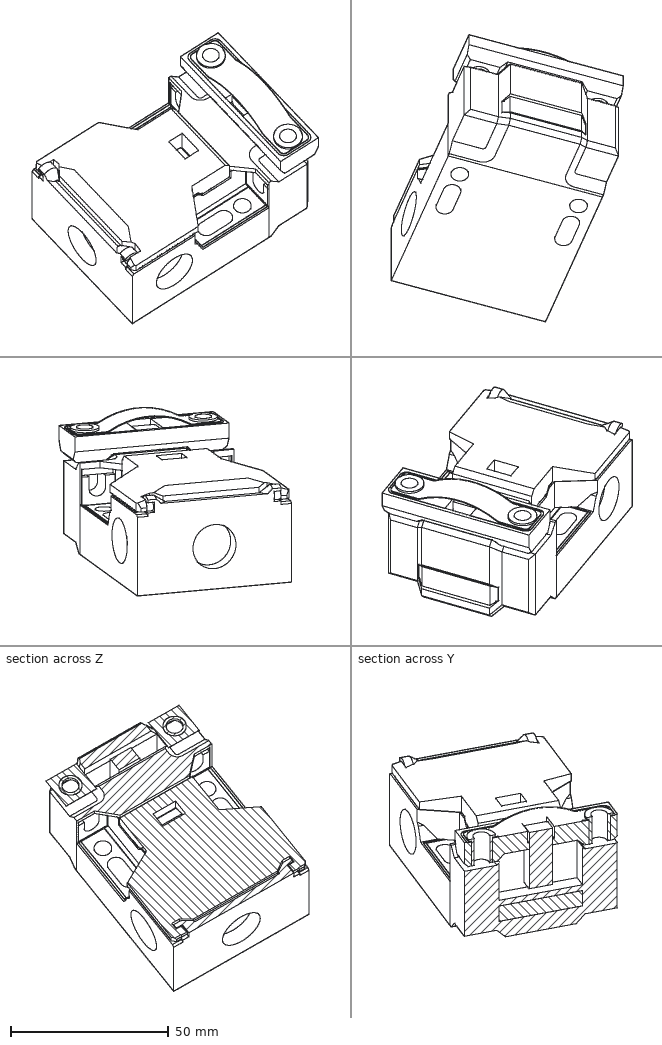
import cadquery as cq
import math

SIDES = (-1, 1)

WIDTH = 52.0
LENGTH = 75.0
HEIGHT = 41.52
HALF = WIDTH / 2
SEAM_Y = 55.0
HEAD_TOP = 30.0

CORE_HALF = 14.0
LEDGE_Z = 16.3
BED_DEPTH = 0.4
BED_INNER, BED_OUTER = 15.45, 24.4
BED_FRONT = 29.0
GROOVE_OUTER = 25.3
GROOVE_DEPTH = 0.2
RIM_Z = 26.6
TAIL_Z = 24.4
LIP_RISE = 0.8
TAIL_LIP_RISE = 1.1
LIP_INSET = 0.6
STEP_LOW_Y = 37.8
STEP_HIGH_Y = STEP_LOW_Y - (RIM_Z + LIP_RISE - TAIL_Z - TAIL_LIP_RISE)
LIP_FRONT = 3.5
LIP_BACK = 41.4
PILLAR_FRONT, PILLAR_TOP = 49.0, 27.9
WALL_TOP = 29.8
WALL_FRONT_Y, WALL_FOOT_Y, WALL_FOOT_Z = 1.9, LIP_FRONT, 28.3
CORNER_BEVEL = 0.7
WING_IN_Y, WING_OUT_Y = 31.8, 25.3
WEDGE = ((28.4, LEDGE_Z), (26.3, 21.0), (WING_OUT_Y, 22.0))
ENTRY_D, ENTRY_DEPTH = 14.5, 5.0
ENTRY_Z, SIDE_ENTRY_Y = 14.0, 17.0
FIX_X, FIX_D = 20.0, 5.6
FIX_HOLE_Y, FIX_SLOT_Y, FIX_SLOT_LENGTH = 49.0, 38.0, 12.6
LATCH_HALF, LATCH_FRONT, LATCH_BACK, LATCH_TOP, LATCH_RISE = 4.0, 39.5, 42.8, 27.5, 0.9

HINGE_Y, HINGE_Z = 2.1, 28.7
KNUCKLE_R, KNUCKLE_TIP_R = 3.35, 1.2
KNUCKLE_OUT, KNUCKLE_SHOULDER, KNUCKLE_IN = 22.5, 19.6, 16.2
PIN_R, PIN_SLOT_R, PIN_END = 1.6, 1.67, 20.4
PIN_SLOT_END = 20.2

COVER_TOP, COVER_EDGE_Z = 33.4, 30.1
COVER_FLAT_HALF, COVER_HALF = 14.0, 25.8
COVER_BACK, COVER_FRONT, EAR_FRONT = 48.5, 3.5, 0.5
EAR_X = 22.6
COVER_UNDER = RIM_Z + LIP_RISE
TAIL_UNDER = TAIL_Z + TAIL_LIP_RISE
COVER_WING_OUT_Y, COVER_WING_IN_Y = 26.7, 33.3
NOTCH_X, NOTCH_BACK = 19.8, 6.0
EAR_CORNER_X, EAR_CORNER_Y = 24.6, 1.7
EAR_BEVEL_LOW_Z, EAR_BEVEL_HIGH_Z = 28.6, 31.0
FRONT_SLOPE_Y, FRONT_SLOPE_Z = 7.7, 31.2
BACK_CHAMFER = 1.8
WINDOW_HALF, WINDOW_FRONT, WINDOW_BACK = 4.25, 38.2, 43.6

STEP = 3.0
STEP_X = 15.0
STEP_Y = 59.0
STEP_FOOT_R = 1.0
EDGE_CHAMFER = 1.6
HEAD_LIP_HALF_FRONT, HEAD_LIP_HALF_BACK, HEAD_LIP_FRONT = 13.3, 19.2, 49.1
SLOT_HALF_X, SLOT_HALF, SLOT_MOUTH = 14.1, 2.7, 2.0
SLOT_INSET = 9.0
TOP_SLOT_DEPTH, BACK_SLOT_DEPTH = 16.0, 7.0
CHANNEL_BOTTOM, CHANNEL_DEPTH = 18.6, 8.0
RECESS_LOW, RECESS_HIGH, RECESS_OUT, RECESS_DEPTH = 25.2, 27.9, 25.2, 2.5
FACE_INSET = 0.4
PLUG_BACK_GAP, PLUG_FLARE = 0.3, 1.1

BLOCK_TOP, BLOCK_BOTTOM, BLOCK_TAPER_Z = 37.46, 28.3, 32.5
BLOCK_DEPTH, BLOCK_TAPER_Y = 15.25, 2.35
BLOCK_END_CHAMFER = 1.3
BLOCK_CLEARANCE = 0.5
BLOCK_Y = LENGTH - BLOCK_DEPTH / 2
SEAT_HALF_X, SEAT_DEPTH_Y, SEAT_R, SEAT_DEEP = 25.2, 12.5, 2.2, 0.15
POCKET_HALF, POCKET_FLOOR = 4.45, 33.0
SPRING_HALF_X, SPRING_WIDTH, SPRING_R, SPRING_T = 24.5, 11.0, 1.5, 0.3
ARCH_FOOT_X, ARCH_TANGENT_X = 14.8, 13.4
BUSH_FLANGE_R, BUSH_SHANK_R, BUSH_BORE_D, BUSH_TOP = 4.6, 3.6, 5.3, 38.3
KEY_HALF, KEY_T, KEY_LOW, KEY_TOP = 4.0, 5.0, 16.0, 36.8


def box(x0, x1, y0, y1, z0, z1):
    """Box between the given limits."""
    return cq.Workplane("XY").box(x1 - x0, y1 - y0, z1 - z0, centered=False).translate((x0, y0, z0))


def across(points, half):
    """Prism of a Y-Z outline, reaching the same distance to both sides of the middle."""
    return cq.Workplane("YZ").polyline(points).close().extrude(half, both=True)


def cylinder_x(radius, x0, x1, y, z):
    """Cylinder along X."""
    return cq.Workplane("YZ", origin=(x0, y, z)).circle(radius).extrude(x1 - x0)


def mirrored(half_points):
    """Outline completed with its mirror image about X = 0."""
    return half_points + [(-x, y) for x, y in reversed(half_points)]


def both_sides(shape):
    """A feature of the +X side together with its mirror image."""
    return shape.union(shape.mirror("YZ"))


def housing_shell():
    profile = [
        (0, 0), (SEAM_Y, 0), (SEAM_Y, PILLAR_TOP), (PILLAR_FRONT, PILLAR_TOP), (PILLAR_FRONT, TAIL_Z),
        (STEP_LOW_Y, TAIL_Z), (STEP_HIGH_Y, RIM_Z), (0, RIM_Z),
    ]
    return across(profile, HALF)


def ledge_space():
    """Space above one fixing ledge, in front of it the slanted wing with its wedge."""
    outline = [(CORE_HALF, SEAM_Y), (HALF, SEAM_Y), (HALF, WING_OUT_Y), (CORE_HALF, WING_IN_Y)]
    space = cq.Workplane("XY", origin=(0, 0, LEDGE_Z)).polyline(outline).close().extrude(HEAD_TOP - LEDGE_Z)
    space = space.cut(across([*WEDGE, (0, WEDGE[-1][1]), (0, LEDGE_Z)], HALF))
    bed = box(BED_INNER, BED_OUTER, 0, SEAM_Y, LEDGE_Z - BED_DEPTH, LEDGE_Z)
    groove = box(BED_OUTER, GROOVE_OUTER, 0, SEAM_Y, LEDGE_Z - GROOVE_DEPTH, LEDGE_Z)
    back_part = box(0, HALF, BED_FRONT, SEAM_Y, 0, LEDGE_Z)
    return space.union(bed.union(groove).intersect(back_part))


def fixing_holes():
    return (
        cq.Workplane("XY")
        .pushPoints([(side * FIX_X, FIX_HOLE_Y) for side in SIDES])
        .circle(FIX_D / 2)
        .extrude(HEAD_TOP)
        .pushPoints([(side * FIX_X, FIX_SLOT_Y) for side in SIDES])
        .slot2D(FIX_SLOT_LENGTH, FIX_D, 90)
        .extrude(HEAD_TOP)
    )


def cover_lip():
    """Inset lip below the cover: the rim, the tail and the slope between them."""
    inner = CORE_HALF - LIP_INSET
    outer = HALF - LIP_INSET
    outline = mirrored([
        (outer, LIP_FRONT), (outer, WING_OUT_Y), (inner, WING_IN_Y), (inner, STEP_HIGH_Y),
    ])
    rim = cq.Workplane("XY", origin=(0, 0, RIM_Z)).polyline(outline).close().extrude(LIP_RISE)
    tail = across(
        [(STEP_HIGH_Y, TAIL_Z), (LIP_BACK, TAIL_Z), (LIP_BACK, TAIL_UNDER),
         (STEP_LOW_Y, TAIL_UNDER), (STEP_HIGH_Y, COVER_UNDER)],
        inner,
    )
    return rim.union(tail)


def hinge_wall():
    """Front wall that carries the two hinge knuckles."""
    wall = across(
        [(0, RIM_Z), (0, WALL_TOP), (WALL_FRONT_Y, WALL_TOP),
         (WALL_FOOT_Y, WALL_FOOT_Z), (WALL_FOOT_Y, RIM_Z)],
        KNUCKLE_OUT,
    )
    profile = [
        (KNUCKLE_IN, 0), (KNUCKLE_IN, KNUCKLE_TIP_R), (KNUCKLE_SHOULDER, KNUCKLE_R),
        (KNUCKLE_OUT, KNUCKLE_R), (KNUCKLE_OUT, 0),
    ]
    knuckle = cq.Workplane("XY").polyline(profile).close().revolve(360, (0, 0, 0), (1, 0, 0))
    knuckle = knuckle.translate((0, HINGE_Y, HINGE_Z))
    knuckle = knuckle.intersect(box(0, HALF, 0, LENGTH, 0, HEIGHT))
    return wall.union(both_sides(knuckle))


def pin_slot():
    """Slot in one knuckle, open to the front, for a pin of the cover."""
    bore = cylinder_x(PIN_SLOT_R, PIN_SLOT_END, KNUCKLE_OUT, HINGE_Y, HINGE_Z)
    mouth = box(PIN_SLOT_END, KNUCKLE_OUT, 0, HINGE_Y, HINGE_Z - PIN_SLOT_R, HINGE_Z + PIN_SLOT_R)
    return bore.union(mouth)


def corner_bevel():
    """Bevel of the front edge below each ear of the cover."""
    prism = across([(0, RIM_Z - CORNER_BEVEL), (0, RIM_Z), (CORNER_BEVEL, RIM_Z)], HALF)
    return prism.intersect(box(KNUCKLE_OUT, HALF, 0, LENGTH, 0, HEIGHT))


def conduit_entries():
    front = cq.Workplane("XZ", origin=(0, 0, ENTRY_Z)).circle(ENTRY_D / 2).extrude(-ENTRY_DEPTH)
    side = cylinder_x(ENTRY_D / 2, HALF - ENTRY_DEPTH, HALF, SIDE_ENTRY_Y, ENTRY_Z)
    return front.union(both_sides(side))


def latch():
    """Catch that stands in the window of the cover; its hollow top rises towards the front."""
    middle_y = (LATCH_FRONT + LATCH_BACK) / 2
    middle_z = LATCH_TOP - 3 * LATCH_RISE / 4
    return (
        cq.Workplane("YZ")
        .moveTo(LATCH_FRONT, TAIL_Z)
        .lineTo(LATCH_FRONT, LATCH_TOP)
        .threePointArc((middle_y, middle_z), (LATCH_BACK, LATCH_TOP - LATCH_RISE))
        .lineTo(LATCH_BACK, TAIL_Z)
        .close()
        .extrude(LATCH_HALF, both=True)
    )


def make_housing():
    body = housing_shell().cut(both_sides(ledge_space())).cut(fixing_holes())
    body = body.union(cover_lip()).union(hinge_wall()).union(latch())
    return body.cut(both_sides(pin_slot().union(corner_bevel()))).cut(conduit_entries())


def make_cover():
    section = mirrored([
        (COVER_HALF, 0), (COVER_HALF, COVER_EDGE_Z), (COVER_FLAT_HALF, COVER_TOP),
    ])
    outline = mirrored([
        (KNUCKLE_IN, COVER_FRONT), (NOTCH_X, NOTCH_BACK), (EAR_X, NOTCH_BACK), (EAR_X, EAR_FRONT),
        (EAR_CORNER_X, EAR_FRONT), (COVER_HALF, EAR_CORNER_Y), (COVER_HALF, COVER_WING_OUT_Y),
        (COVER_FLAT_HALF, COVER_WING_IN_Y), (COVER_FLAT_HALF, COVER_BACK),
    ])
    profile = [
        (EAR_FRONT, COVER_UNDER), (STEP_HIGH_Y, COVER_UNDER), (STEP_LOW_Y, TAIL_UNDER),
        (COVER_BACK, TAIL_UNDER), (COVER_BACK, COVER_TOP - BACK_CHAMFER),
        (COVER_BACK - BACK_CHAMFER, COVER_TOP), (FRONT_SLOPE_Y, COVER_TOP), (COVER_FRONT, FRONT_SLOPE_Z),
        (EAR_CORNER_Y, EAR_BEVEL_HIGH_Z), (EAR_FRONT, EAR_BEVEL_LOW_Z),
    ]
    cover = across(profile, HALF)
    cover = cover.intersect(cq.Workplane("XZ").polyline(section).close().extrude(-LENGTH))
    cover = cover.intersect(cq.Workplane("XY").polyline(outline).close().extrude(HEIGHT))
    cover = cover.cut(box(-WINDOW_HALF, WINDOW_HALF, WINDOW_FRONT, WINDOW_BACK, 0, HEIGHT))
    pin = cylinder_x(PIN_R, PIN_END, EAR_X, HINGE_Y, HINGE_Z)
    return cover.union(both_sides(pin))


def top_corner_step():
    """Material removed from one top corner: walls at 45 degrees, joined by a cone."""
    reach = LENGTH
    pocket = (
        cq.Workplane("XY", origin=(0, 0, HEAD_TOP - STEP))
        .center(STEP_X + reach / 2, STEP_Y + reach / 2)
        .rect(reach, reach)
        .extrude(STEP)
        .edges("|Z and <X and <Y")
        .fillet(STEP_FOOT_R)
    )
    return pocket.faces("<Z").wires().toPending().workplane(invert=True).extrude(STEP, taper=-45)


def back_corner_step():
    outline = [(STEP_X, LENGTH - STEP), (HALF, LENGTH - STEP), (HALF, LENGTH), (STEP_X - STEP, LENGTH)]
    return cq.Workplane("XY").polyline(outline).close().extrude(HEAD_TOP)


def back_edge_chamfer():
    """45 degree cut along the upper back edge; it follows the steps of the head."""
    root = math.sqrt(2)
    middle = (LENGTH + HEAD_TOP - EDGE_CHAMFER) / root
    side = middle - 2 * STEP / root
    outside = middle + STEP
    outline = mirrored([(STEP_X - STEP, middle), (STEP_X, side), (HALF, side), (HALF, outside)])
    plane = cq.Plane(origin=(0, 0, 0), xDir=(1, 0, 0), normal=(0, -1, 1))
    return cq.Workplane(plane).polyline(outline).close().extrude(LENGTH, both=True)


def key_slot(depth):
    """Key entry slot with a flared mouth, opening at Z = 0 and going down."""
    low = SLOT_HALF
    high = SLOT_HALF + SLOT_MOUTH
    profile = [
        (-low, -depth), (low, -depth), (low, -SLOT_MOUTH), (high, 0), (-high, 0), (-low, -SLOT_MOUTH),
    ]
    return across(profile, SLOT_HALF_X)


def screw_recess():
    """U-shaped channel with a wider recess above it, in the front face of the head."""
    radius = FIX_D / 2
    centre_z = CHANNEL_BOTTOM + radius
    round_end = cq.Workplane("XZ", origin=(FIX_X, SEAM_Y, centre_z)).circle(radius).extrude(-CHANNEL_DEPTH)
    channel = box(FIX_X - radius, FIX_X + radius, SEAM_Y, SEAM_Y + CHANNEL_DEPTH, centre_z, RECESS_LOW)
    recess = box(CORE_HALF, RECESS_OUT, SEAM_Y, SEAM_Y + RECESS_DEPTH, RECESS_LOW, RECESS_HIGH)
    face = box(CORE_HALF, GROOVE_OUTER, SEAM_Y, SEAM_Y + FACE_INSET, LEDGE_Z - BED_DEPTH, RECESS_HIGH)
    return round_end.union(channel).union(recess).union(face)


def make_head():
    head = box(-HALF, HALF, SEAM_Y, LENGTH, 0, HEAD_TOP)
    upper = both_sides(top_corner_step()).union(back_edge_chamfer())
    lower = upper.mirror("XY").translate((0, 0, HEAD_TOP))
    head = head.cut(both_sides(back_corner_step())).cut(upper).cut(lower)
    step_back = LENGTH - STEP
    corner = [(HALF, step_back - EDGE_CHAMFER), (HALF - EDGE_CHAMFER, step_back), (HALF, step_back)]
    head = head.cut(both_sides(cq.Workplane("XY").polyline(corner).close().extrude(HEAD_TOP)))
    lip = mirrored([(HEAD_LIP_HALF_FRONT, HEAD_LIP_FRONT), (HEAD_LIP_HALF_BACK, SEAM_Y)])
    lip = cq.Workplane("XY", origin=(0, 0, PILLAR_TOP)).polyline(lip).close().extrude(HEAD_TOP - PILLAR_TOP)
    head = head.union(lip)
    top_slot = key_slot(TOP_SLOT_DEPTH).translate((0, LENGTH - SLOT_INSET, HEAD_TOP))
    back_slot = key_slot(BACK_SLOT_DEPTH).rotate((0, 0, 0), (1, 0, 0), -90).translate((0, LENGTH, SLOT_INSET))
    return head.cut(top_slot).cut(back_slot).cut(both_sides(screw_recess()))


def make_plug():
    """Plug that closes the slot in the back face; its ends slope like the steps of the head."""
    foot = LENGTH - BACK_SLOT_DEPTH
    neck = LENGTH - SLOT_MOUTH
    back = LENGTH - PLUG_BACK_GAP
    low, high = SLOT_HALF, SLOT_HALF + PLUG_FLARE
    points = [(foot, -low), (neck, -low), (back, -high), (back, high), (neck, low), (foot, low)]
    bar = across(points, SLOT_HALF_X).translate((0, 0, SLOT_INSET))
    bevel_x = STEP_X - STEP
    shoulder = back - (SLOT_HALF_X - bevel_x)
    outline = mirrored([(SLOT_HALF_X, foot), (SLOT_HALF_X, shoulder), (bevel_x, back)])
    return bar.intersect(cq.Workplane("XY").polyline(outline).close().extrude(HEAD_TOP))


def bush_holes():
    points = [(side * FIX_X, BLOCK_Y) for side in SIDES]
    return cq.Workplane("XY").pushPoints(points).circle(BUSH_SHANK_R).extrude(HEIGHT)


def make_key():
    """Blade that goes from the actuator block into the top slot of the head."""
    y = LENGTH - SLOT_INSET
    return box(-KEY_HALF, KEY_HALF, y - KEY_T / 2, y + KEY_T / 2, KEY_LOW, KEY_TOP)


def make_block(key):
    front = LENGTH - BLOCK_DEPTH
    profile = [
        (front, BLOCK_TAPER_Z), (front, BLOCK_TOP), (LENGTH, BLOCK_TOP), (LENGTH, BLOCK_TAPER_Z),
        (LENGTH - BLOCK_TAPER_Y, BLOCK_BOTTOM), (front + BLOCK_TAPER_Y, BLOCK_BOTTOM),
    ]
    block = across(profile, HALF)
    block = block.cut(both_sides(
        cq.Workplane("XZ")
        .polyline([(HALF, BLOCK_BOTTOM), (HALF, BLOCK_BOTTOM + BLOCK_END_CHAMFER),
                   (HALF - BLOCK_END_CHAMFER, BLOCK_BOTTOM)])
        .close()
        .extrude(-LENGTH)
    ))
    roof = HEAD_TOP + BLOCK_CLEARANCE
    roof_half = STEP_X - STEP + BLOCK_CLEARANCE
    hollow = mirrored([(roof_half + roof - BLOCK_BOTTOM, BLOCK_BOTTOM), (roof_half, roof)])
    block = block.cut(cq.Workplane("XZ").polyline(hollow).close().extrude(-LENGTH))
    seat = cq.Workplane("XY", origin=(0, BLOCK_Y, BLOCK_TOP - SEAT_DEEP)).rect(2 * SEAT_HALF_X, SEAT_DEPTH_Y)
    seat = seat.extrude(SEAT_DEEP).edges("|Z").fillet(SEAT_R)
    pocket_front, pocket_back = BLOCK_Y - SEAT_DEPTH_Y / 2, BLOCK_Y + SEAT_DEPTH_Y / 2
    pocket = box(-POCKET_HALF, POCKET_HALF, pocket_front, pocket_back, POCKET_FLOOR, BLOCK_TOP)
    return block.cut(seat).cut(pocket).cut(bush_holes()).cut(key)


def make_spring():
    """Leaf spring: flat ends joined by an arch with tangent fillets at its feet."""
    base = BLOCK_TOP - SEAT_DEEP
    top = base + SPRING_T
    angle = 2 * math.atan((HEIGHT - top) / ARCH_FOOT_X)
    foot_r = (ARCH_FOOT_X - ARCH_TANGENT_X) / math.sin(angle)
    arch_r = ARCH_FOOT_X / math.sin(angle) - foot_r
    arch_z = HEIGHT - arch_r

    def on_arch(radius, turn):
        return (radius * math.sin(turn), arch_z + radius * math.cos(turn))

    def on_foot(radius, turn, side):
        return (side * (ARCH_FOOT_X - radius * math.sin(turn)), top + foot_r - radius * math.cos(turn))

    inner_r, inner_foot_r = arch_r - SPRING_T, foot_r + SPRING_T
    leaf = (
        cq.Workplane("XZ")
        .moveTo(-SPRING_HALF_X, base)
        .lineTo(-SPRING_HALF_X, top)
        .lineTo(-ARCH_FOOT_X, top)
        .threePointArc(on_foot(foot_r, angle / 2, -1), on_arch(arch_r, -angle))
        .threePointArc((0, HEIGHT), on_arch(arch_r, angle))
        .threePointArc(on_foot(foot_r, angle / 2, 1), (ARCH_FOOT_X, top))
        .lineTo(SPRING_HALF_X, top)
        .lineTo(SPRING_HALF_X, base)
        .lineTo(ARCH_FOOT_X, base)
        .threePointArc(on_foot(inner_foot_r, angle / 2, 1), on_arch(inner_r, angle))
        .threePointArc((0, arch_z + inner_r), on_arch(inner_r, -angle))
        .threePointArc(on_foot(inner_foot_r, angle / 2, -1), (-ARCH_FOOT_X, base))
        .close()
        .extrude(SPRING_WIDTH / 2, both=True)
        .translate((0, BLOCK_Y, 0))
    )
    outline = cq.Workplane("XY", origin=(0, BLOCK_Y, 0)).rect(2 * SPRING_HALF_X, SPRING_WIDTH).extrude(HEIGHT)
    return leaf.intersect(outline.edges("|Z").fillet(SPRING_R)).cut(bush_holes())


def make_bush(side):
    """Flanged bush that holds one end of the spring on the block."""
    flange_z = BLOCK_TOP - SEAT_DEEP + SPRING_T
    return (
        cq.Workplane("XY", origin=(side * FIX_X, BLOCK_Y, BLOCK_BOTTOM))
        .circle(BUSH_SHANK_R)
        .extrude(flange_z - BLOCK_BOTTOM)
        .faces(">Z")
        .workplane()
        .circle(BUSH_FLANGE_R)
        .extrude(BUSH_TOP - flange_z)
        .faces(">Z")
        .workplane()
        .hole(BUSH_BORE_D)
    )


housing = make_housing()
cover = make_cover()
head = make_head()
plug = make_plug()
key = make_key()
block = make_block(key)
spring = make_spring()
bushes = [make_bush(side) for side in SIDES]

bodies = [housing, cover, head, plug, key, block, spring, *bushes]
result = cq.Compound.makeCompound([body.val() for body in bodies])